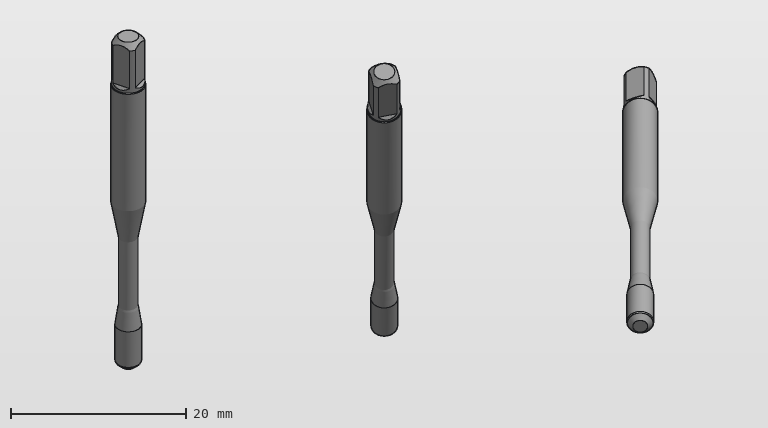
import cadquery as cq

length = 46.1
shank_diameter = 4.0
neck_diameter = 2.25
head_diameter = 3.1

drive_diameter = 3.83
across_flats = 3.15
drive_chamfer = 0.75
drive_top_diameter = 2.4
flat_bottom_z = 40.1
shank_top_z = 39.45
shank_edge_chamfer = (shank_diameter - drive_diameter) / 2

shank_bottom_z = 22.95
upper_taper_end_z = 18.1
upper_taper_end_diameter = 2.3
neck_top_z = 18.0

neck_bottom_z = 8.45
flare_end_z = 8.15
flare_end_diameter = 2.4
head_top_z = 5.75

band_top_z = 0.8
band_bottom_z = 0.6
band_bottom_diameter = 2.9
nose_diameter = 1.7


def revolve_profile(points):
    """Revolve (radius, z) points about the Z axis."""
    return cq.Workplane("XZ").polyline(points).close().revolve(360, (0, 0, 0), (0, 1, 0))


def square_envelope():
    """Square drive prism that flares outward at 45 degrees below its flats."""
    prism = (
        cq.Workplane("XY", origin=(0, 0, flat_bottom_z))
        .rect(across_flats, across_flats)
        .extrude(length - flat_bottom_z)
    )
    flare_height = flat_bottom_z - shank_top_z
    flare_width = across_flats + 2 * flare_height
    flare = (
        cq.Workplane("XY", origin=(0, 0, shank_top_z))
        .rect(flare_width, flare_width)
        .workplane(offset=flare_height)
        .rect(across_flats, across_flats)
        .loft()
    )
    return prism.union(flare)


def make_drive():
    """Chamfered round bar cut to a square."""
    radius = drive_diameter / 2
    bar = revolve_profile([
        (0, shank_top_z),
        (radius, shank_top_z),
        (radius, length - drive_chamfer),
        (drive_top_diameter / 2, length),
        (0, length),
    ])
    return bar.intersect(square_envelope())


def make_shank():
    """Shank, tapers and neck in one piece with the square drive."""
    shank_radius = shank_diameter / 2
    neck_radius = neck_diameter / 2
    turned = revolve_profile([
        (0, head_top_z),
        (head_diameter / 2, head_top_z),
        (flare_end_diameter / 2, flare_end_z),
        (neck_radius, neck_bottom_z),
        (neck_radius, neck_top_z),
        (upper_taper_end_diameter / 2, upper_taper_end_z),
        (shank_radius, shank_bottom_z),
        (shank_radius, shank_top_z - shank_edge_chamfer),
        (drive_diameter / 2, shank_top_z),
        (0, shank_top_z),
    ])
    return turned.union(make_drive())


def make_head():
    """Cylindrical working head with a lead-in band and a conical nose."""
    head_radius = head_diameter / 2
    return revolve_profile([
        (0, 0),
        (nose_diameter / 2, 0),
        (band_bottom_diameter / 2, band_bottom_z),
        (head_radius, band_top_z),
        (head_radius, head_top_z),
        (0, head_top_z),
    ])


shank = make_shank()
head = make_head()
result = cq.Compound.makeCompound([shank.val(), head.val()])